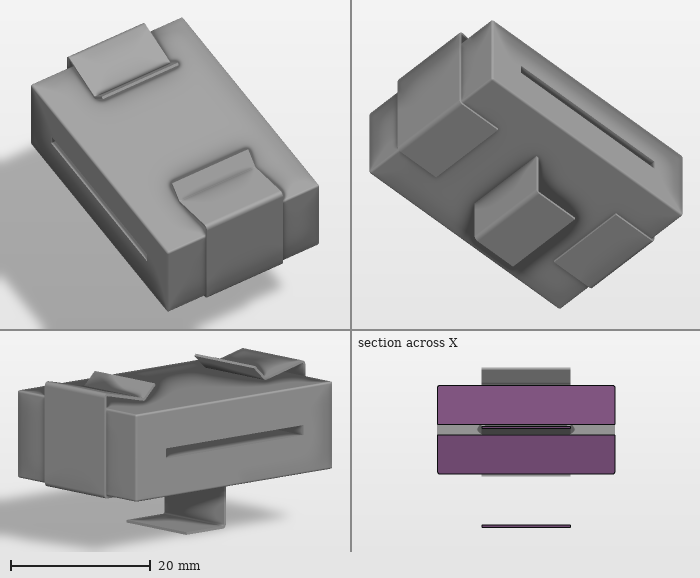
import cadquery as cq
import math

overall_length = 38.8
core_width = 25.4
overall_height = 22.9

sheet = 0.4

core_length = overall_length - 2 * sheet
half_height = 6.35
core_edge_radius = 0.3
slot_length = 26.55
slot_half_height = 0.75

clip_width = core_width / 2
clip_reach = 7.65
arm_angle = 12.7
lip_angle = 43.5
lip_run = 2.0
wall_bend_radius = 0.25
valley_bend_radius = 0.1

loose_shift = 15.33
loose_drop = 7.25
clip_height = overall_height - loose_drop


def offset_path(points, distance):
    """Return the open path moved to its left by distance, with mitred corners."""
    angles = [
        math.atan2(end[1] - start[1], end[0] - start[0])
        for start, end in zip(points, points[1:])
    ]
    before = angles[:1] + angles
    after = angles + angles[-1:]
    moved = []
    for (x, z), first, second in zip(points, before, after):
        normal = (first + second) / 2 + math.pi / 2
        mitre = distance / math.cos((second - first) / 2)
        moved.append((x + mitre * math.cos(normal), z + mitre * math.sin(normal)))
    return moved


def bend(strip, inner_corner, outer_corner, inner_radius):
    """Round both sides of the strip about one centre where it bends."""
    for (x, z), radius in ((inner_corner, inner_radius), (outer_corner, inner_radius + sheet)):
        corner_edge = cq.selectors.NearestToPointSelector((x, 0, z))
        strip = strip.edges("|Y").edges(corner_edge).fillet(radius)
    return strip


def make_clip():
    """Clip that opens towards -X: outer wall on X = 0, underside of the foot on Z = 0."""
    valley_height = clip_height - lip_run * math.tan(math.radians(lip_angle))
    wall_height = valley_height + clip_reach * math.tan(math.radians(arm_angle))
    face = [
        (-clip_reach, 0),
        (0, 0),
        (0, wall_height),
        (-clip_reach, valley_height),
        (-clip_reach - lip_run, clip_height),
    ]
    back = offset_path(face, sheet)
    strip = (
        cq.Workplane("XZ")
        .polyline(face + back[::-1])
        .close()
        .extrude(clip_width / 2, both=True)
    )
    foot_bend, shoulder_bend, valley_bend = 1, 2, 3
    strip = bend(strip, back[foot_bend], face[foot_bend], wall_bend_radius)
    strip = bend(strip, back[shoulder_bend], face[shoulder_bend], wall_bend_radius)
    return bend(strip, face[valley_bend], back[valley_bend], valley_bend_radius)


def make_core_half():
    """Upper half block, with its parting face on Z = 0."""
    block = (
        cq.Workplane("XY")
        .box(core_length, core_width, half_height, centered=(True, True, False))
        .edges("|Z or >Z")
        .fillet(core_edge_radius)
    )
    slot = cq.Workplane("XY").box(slot_length, core_width, 2 * slot_half_height)
    return block.cut(slot)


foot_level = -half_height - sheet
right_clip = make_clip().translate((overall_length / 2, 0, foot_level))
left_clip = right_clip.mirror("YZ")
loose_clip = right_clip.translate((-loose_shift, 0, -loose_drop))
clips = [left_clip, right_clip, loose_clip]

upper_half = make_core_half()
core_halves = [half.cut(loose_clip) for half in (upper_half, upper_half.mirror("XY"))]

result = cq.Compound.makeCompound([body.solids().val() for body in core_halves + clips])